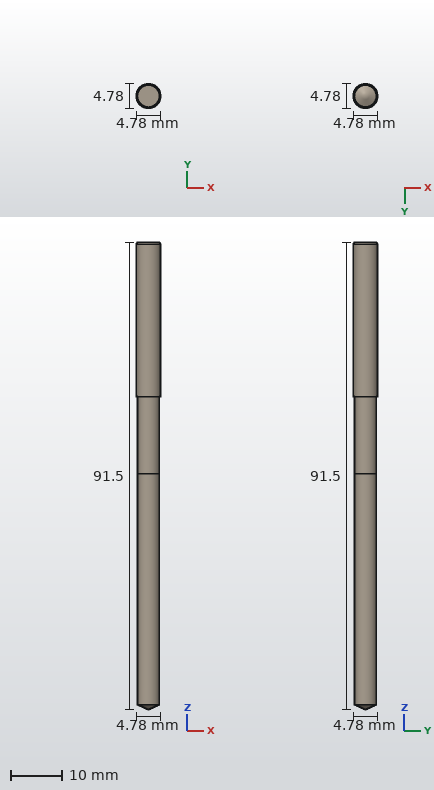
import cadquery as cq
import math

overall_length = 91.5

grip_diameter = 4.78
grip_length = 30.2
chamfer_height = 0.4
chamfer_angle = 30.0

neck_diameter = 4.3
neck_length = 15.1

cutting_diameter = neck_diameter
point_angle = 130.0

grip_radius = grip_diameter / 2
neck_radius = neck_diameter / 2
cutting_radius = cutting_diameter / 2
end_face_radius = grip_radius - chamfer_height * math.tan(math.radians(chamfer_angle))

point_height = cutting_radius / math.tan(math.radians(point_angle / 2))
grip_bottom = overall_length - grip_length
joint_height = grip_bottom - neck_length


def turn(profile):
    """Revolve a closed (radius, height) profile around the Z axis."""
    return cq.Workplane("XZ").polyline(profile).close().revolve(360, (0, 0, 0), (0, 1, 0))


def make_shank():
    """Grip with a chamfered top end, and the thinner neck below it down to the flat joint."""
    return turn([
        (0, joint_height),
        (neck_radius, joint_height),
        (neck_radius, grip_bottom),
        (grip_radius, grip_bottom),
        (grip_radius, overall_length - chamfer_height),
        (end_face_radius, overall_length),
        (0, overall_length),
    ])


def make_cutting_section():
    """Plain cylinder from the flat joint down to its conical point."""
    return turn([
        (0, 0),
        (cutting_radius, point_height),
        (cutting_radius, joint_height),
        (0, joint_height),
    ])


shank = make_shank()
cutting_section = make_cutting_section()

result = cq.Compound.makeCompound([shank.val(), cutting_section.val()])